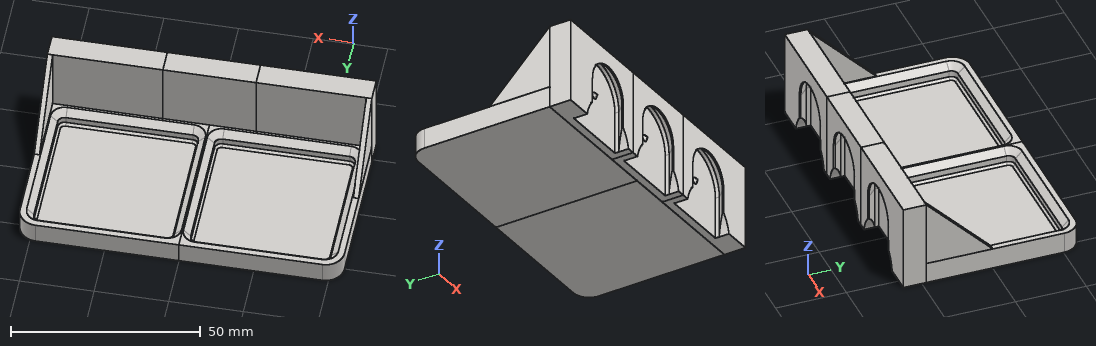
import cadquery as cq

TOTAL_WIDTH = 87.0
TOTAL_DEPTH = 50.5
TOTAL_HEIGHT = 25.0

PLATE_THICKNESS = 6.5
SLOT_PITCH = TOTAL_HEIGHT
MIDDLE_PLATE_HALF_WIDTH = SLOT_PITCH / 2

SLOT_DEPTH = 4.2
SLOT_MOUTH_RADIUS = 7.65
SLOT_INNER_RADIUS = 10.2
SLOT_LIP = 0.4
SLOT_SLOPE = SLOT_INNER_RADIUS - SLOT_MOUTH_RADIUS
SLOT_CENTRE_Z = TOTAL_HEIGHT / 2
DIMPLE_RADIUS = 1.0
DIMPLE_HEIGHT = DIMPLE_RADIUS
FLARE_RADIUS = 10.4
FLARE_DROP = 2.0

TRAY_COUNT = 2
TRAY_WIDTH = TOTAL_WIDTH / TRAY_COUNT
TRAY_HEIGHT = 6.2
TRAY_CORNER_RADIUS = 5.05

POCKET_SIZE = 41.5
POCKET_SIDE_MARGIN = 1.7
POCKET_FRONT_MARGIN = 0.7
POCKET_CORNER_RADIUS = 3.7
POCKET_TOP_CHAMFER = 1.9
POCKET_STRAIGHT = 1.8
POCKET_FLOOR_CHAMFER = 0.7

GUSSET_THICKNESS = 1.5
GUSSET_RISE = TOTAL_HEIGHT - TRAY_HEIGHT
GUSSET_RUN = GUSSET_RISE


def box_between(x_left, x_right, y_front, y_back, height):
    """Box standing on Z = 0."""
    box = cq.Workplane("XY").box(x_right - x_left, y_back - y_front, height, centered=False)
    return box.translate((x_left, y_front, 0))


def slot_half_section():
    """Half of the slot's cross-section: straight lip, 45 degree undercut, then a straight wall."""
    return (
        cq.Workplane("XY")
        .polyline([
            (0, 0),
            (SLOT_MOUTH_RADIUS, 0),
            (SLOT_MOUTH_RADIUS, SLOT_LIP),
            (SLOT_INNER_RADIUS, SLOT_LIP + SLOT_SLOPE),
            (SLOT_INNER_RADIUS, SLOT_DEPTH),
            (0, SLOT_DEPTH),
        ])
        .close()
    )


def slot_cutter(x):
    """Round-topped undercut slot, open at the front and at the bottom."""
    right_half = slot_half_section().extrude(-SLOT_CENTRE_Z)
    left_half = right_half.mirror("YZ")
    round_top = slot_half_section().revolve(360, (0, 0), (0, 1))
    cutter = right_half.union(left_half).union(round_top)
    return cutter.translate((x, 0, SLOT_CENTRE_Z))


def flare_cutter(x):
    """Round widening of the slot mouth at the bottom of the plate."""
    return (
        cq.Workplane("XZ", origin=(x, 0, -FLARE_DROP))
        .circle(FLARE_RADIUS)
        .extrude(-SLOT_DEPTH)
    )


def dimple(x):
    """Pointed bump on the floor of the slot, with its tip toward the front."""
    base_centre = cq.Vector(x, SLOT_DEPTH, SLOT_CENTRE_Z)
    toward_front = cq.Vector(0, -1, 0)
    cone = cq.Solid.makeCone(DIMPLE_RADIUS, 0, DIMPLE_HEIGHT, base_centre, toward_front)
    return cq.Workplane(obj=cone)


def back_plate(x_left, x_right, slot_x):
    """Upright plate with one flared slot and its dimple."""
    plate = box_between(x_left, x_right, 0, PLATE_THICKNESS, TOTAL_HEIGHT)
    plate = plate.cut(slot_cutter(slot_x)).cut(flare_cutter(slot_x))
    return plate.union(dimple(slot_x))


def rounded_square(inset):
    """Outline of the pocket moved inward by an inset."""
    side = POCKET_SIZE - 2 * inset
    return cq.Sketch().rect(side, side).vertices().fillet(POCKET_CORNER_RADIUS - inset)


def pocket_layer(z_low, z_high, inset_low, inset_high):
    """Part of the pocket between two levels, with straight or sloping walls."""
    lower = rounded_square(inset_low)
    upper = rounded_square(inset_high).moved(cq.Location(cq.Vector(0, 0, z_high - z_low)))
    return cq.Workplane("XY").workplane(offset=z_low).placeSketch(lower, upper).loft()


def tray_pocket():
    """Rounded square pocket centred on the Z axis and open at the top of the tray."""
    wall_inset = POCKET_TOP_CHAMFER
    floor_inset = wall_inset + POCKET_FLOOR_CHAMFER
    wall_top = TRAY_HEIGHT - POCKET_TOP_CHAMFER
    wall_bottom = wall_top - POCKET_STRAIGHT
    floor = wall_bottom - POCKET_FLOOR_CHAMFER
    pocket = pocket_layer(wall_top, TRAY_HEIGHT, wall_inset, 0)
    pocket = pocket.union(pocket_layer(wall_bottom, wall_top, wall_inset, wall_inset))
    return pocket.union(pocket_layer(floor, wall_bottom, floor_inset, wall_inset))


def left_tray():
    """Shallow tray behind the plates, rounded at its outer back corner."""
    outer_x = -TOTAL_WIDTH / 2
    tray = box_between(outer_x, outer_x + TRAY_WIDTH, PLATE_THICKNESS, TOTAL_DEPTH, TRAY_HEIGHT)
    tray = tray.edges("|Z and >Y and <X").fillet(TRAY_CORNER_RADIUS)
    pocket_x = outer_x + POCKET_SIDE_MARGIN + POCKET_SIZE / 2
    pocket_y = PLATE_THICKNESS + POCKET_FRONT_MARGIN + POCKET_SIZE / 2
    return tray.cut(tray_pocket().translate((pocket_x, pocket_y, 0)))


def left_gusset():
    """Triangular brace between the back plate and the outer edge of the tray."""
    return (
        cq.Workplane("YZ", origin=(-TOTAL_WIDTH / 2, PLATE_THICKNESS, TRAY_HEIGHT))
        .polyline([(0, 0), (GUSSET_RUN, 0), (0, GUSSET_RISE)])
        .close()
        .extrude(GUSSET_THICKNESS)
    )


plate_edges = [-TOTAL_WIDTH / 2, -MIDDLE_PLATE_HALF_WIDTH, MIDDLE_PLATE_HALF_WIDTH, TOTAL_WIDTH / 2]
slot_places = [-SLOT_PITCH, 0, SLOT_PITCH]
back_plates = [
    back_plate(x_left, x_right, slot_x)
    for x_left, x_right, slot_x in zip(plate_edges[:-1], plate_edges[1:], slot_places)
]
trays = [left_tray(), left_tray().mirror("YZ")]
gussets = [left_gusset(), left_gusset().mirror("YZ")]

result = cq.Compound.makeCompound([body.val() for body in back_plates + trays + gussets])